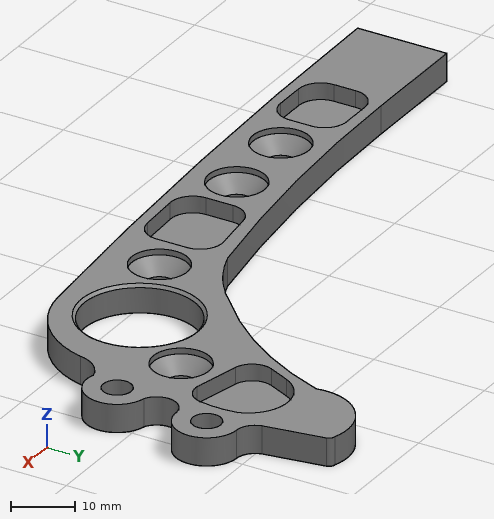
import cadquery as cq
import math

thickness = 5.0
handle_width = 16.2
handle_straight = 20.1

handle_top_end = (75.2, 21.2)
throat_end = (87.5, 29.0)
tip_left = (105.0, 54.9)
tip_top = (117.0, 65.4)
tip_right = (118.0, 64.5)
tip_base = (119.7, 53.9)
heel_start = (99.7, 5.0)
heel_end = (114.6, 18.0)

upper_handle_mid = (48.1, 17.5)
lower_handle_mid = (49.9, 1.3)
throat_fillet_mid = (81.9, 24.2)
throat_mid = (98.1, 41.2)
tip_mid = (107.6, 63.4)
tip_corner_mid = (117.7, 65.2)
tip_fillet_mid = (120.7, 52.1)
lug_gap_mid = (119.5, 36.5)
heel_fillet_mid = (115.9, 20.9)
heel_mid = (108.9, 8.9)

lug_radius = 5.5
lug_hole_radius = 2.5
upper_lug = (122.8, 45.7)
lower_lug = (120.5, 28.1)
upper_lug_angles = (-92, 88)
lower_lug_angles = (-107, 80)

bore_center = (98.3, 19.0)
bore_radius = 10.0
bore_chamfer = 0.5

screw_centers = [(38.5, 9.0), (53.0, 9.6), (82.4, 13.1), (108.5, 32.6)]
screw_radius = 2.5
screw_head_radius = 5.0
head_recess = 1.0

pocket_depth = 3.0
pocket_radius = 4.0
handle_pocket = [(17.8, 2.3), (31.3, 2.3), (31.3, 14.2), (17.8, 14.2)]
middle_pocket = [(59.9, 4.0), (75.5, 4.7), (75.5, 18.5), (59.9, 16.5)]
tip_pocket_left = (104.7, 49.4)
tip_pocket_arch = (111.1, 53.4)
tip_pocket_right = (117.9, 48.4)
tip_pocket_side_mid = (118.2, 45.3)
tip_pocket_side_end = (117.8, 41.5)
tip_pocket_right_corner = (116.5, 39.4)
tip_pocket_base_right = (113.9, 38.6)
tip_pocket_base_left = (105.3, 40.5)
tip_pocket_left_corner = (103.0, 42.3)
tip_pocket_left_side = (102.9, 45.5)


def lug_point(center, angle):
    """Point on a lug's rim at an angle in degrees from +X."""
    turn = math.radians(angle)
    return (center[0] + lug_radius * math.cos(turn), center[1] + lug_radius * math.sin(turn))


def make_plate():
    return (
        cq.Workplane("XY")
        .threePointArc(lower_handle_mid, heel_start)
        .threePointArc(heel_mid, heel_end)
        .threePointArc(heel_fillet_mid, lug_point(lower_lug, lower_lug_angles[0]))
        .threePointArc(lug_point(lower_lug, 0), lug_point(lower_lug, lower_lug_angles[1]))
        .threePointArc(lug_gap_mid, lug_point(upper_lug, upper_lug_angles[0]))
        .threePointArc(lug_point(upper_lug, 0), lug_point(upper_lug, upper_lug_angles[1]))
        .threePointArc(tip_fillet_mid, tip_base)
        .lineTo(*tip_right)
        .threePointArc(tip_corner_mid, tip_top)
        .threePointArc(tip_mid, tip_left)
        .threePointArc(throat_mid, throat_end)
        .threePointArc(throat_fillet_mid, handle_top_end)
        .threePointArc(upper_handle_mid, (handle_straight, handle_width))
        .lineTo(0, handle_width)
        .close()
        .extrude(thickness)
    )


def cut_bore(plate):
    bored = plate.cut(cq.Workplane("XY").center(*bore_center).circle(bore_radius).extrude(thickness))
    rim = (
        cq.Workplane("XY", origin=(*bore_center, thickness - bore_chamfer))
        .circle(bore_radius)
        .workplane(offset=bore_chamfer)
        .circle(bore_radius + bore_chamfer)
        .loft()
    )
    return bored.cut(rim)


def screw_cutter():
    """Through hole, cone and head recess turned about the Z axis."""
    recess_floor = thickness - head_recess
    cone_bottom = recess_floor - (screw_head_radius - screw_radius)
    profile = [
        (0, 0),
        (screw_radius, 0),
        (screw_radius, cone_bottom),
        (screw_head_radius, recess_floor),
        (screw_head_radius, thickness),
        (0, thickness),
    ]
    return cq.Workplane("XZ").polyline(profile).close().revolve(360, (0, 0), (0, 1))


def pocket_cutter(corners):
    return (
        cq.Workplane("XY", origin=(0, 0, thickness - pocket_depth))
        .polyline(corners)
        .close()
        .extrude(pocket_depth)
        .edges("|Z")
        .fillet(pocket_radius)
    )


def tip_pocket_cutter():
    return (
        cq.Workplane("XY", origin=(0, 0, thickness - pocket_depth))
        .moveTo(*tip_pocket_left)
        .threePointArc(tip_pocket_arch, tip_pocket_right)
        .threePointArc(tip_pocket_side_mid, tip_pocket_side_end)
        .threePointArc(tip_pocket_right_corner, tip_pocket_base_right)
        .lineTo(*tip_pocket_base_left)
        .threePointArc(tip_pocket_left_corner, tip_pocket_left_side)
        .close()
        .extrude(pocket_depth)
    )


result = cut_bore(make_plate())
for center in screw_centers:
    result = result.cut(screw_cutter().translate((*center, 0)))
lug_holes = cq.Workplane("XY").pushPoints([upper_lug, lower_lug]).circle(lug_hole_radius).extrude(thickness)
result = result.cut(lug_holes)
for corners in (handle_pocket, middle_pocket):
    result = result.cut(pocket_cutter(corners))
result = result.cut(tip_pocket_cutter())